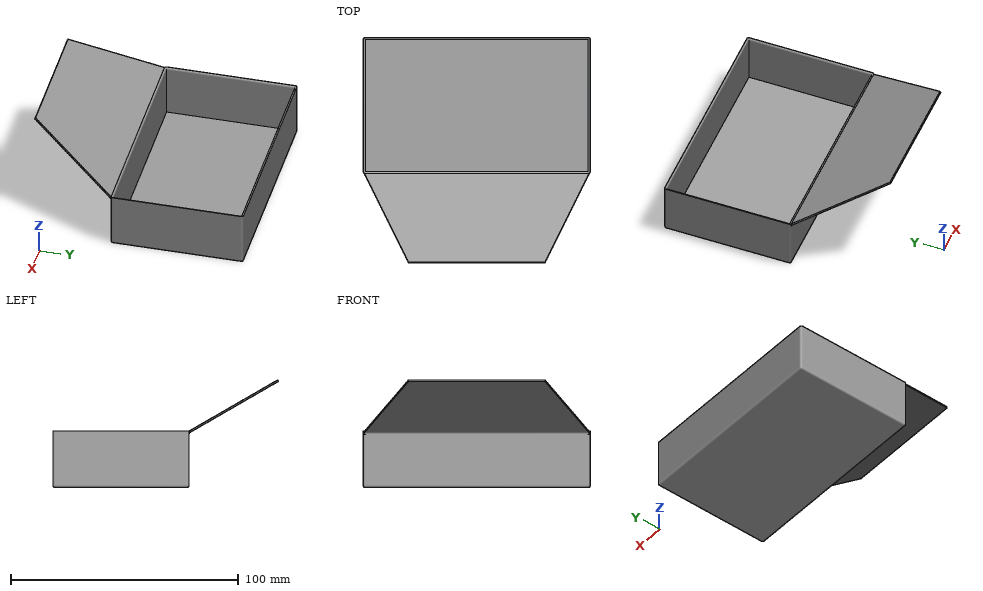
import cadquery as cq
import math

length = 100.0
depth = 60.0
height = 25.0
wall = 1.0
edge_radius = wall
inner_length = length - 2 * wall
inner_depth = depth - 2 * wall

lip_length = 45.0
lip_angle = math.radians(30.0)
lip_thickness = 0.8
lip_root_width = 98.7
lip_tip_width = 60.0
lip_fillet = 1.0


def make_shell():
    """Tray with rounded outer bottom and upright edges around a sharp-cornered cavity."""
    outside = cq.Workplane("XY").box(length, depth, height, centered=(True, True, False))
    outside = outside.edges("|Z or <Z").fillet(edge_radius)
    cavity = cq.Workplane("XY").box(inner_length, inner_depth, height, centered=(True, True, False))
    return outside.cut(cavity.translate((0, 0, wall)))


def rim_profile(plane):
    """Waste above a quarter round that spans the wall, from its inner face to its outer top edge."""
    arc_reach = wall * math.sqrt(0.5)
    return (
        cq.Workplane(plane)
        .lineTo(wall, 0)
        .threePointArc((wall - arc_reach, arc_reach - wall), (0, -wall))
        .close()
    )


def round_rim(tray):
    """Round the inner top edge of all four walls, turning about each inside corner."""
    inner_sides = (inner_length, inner_depth)
    for quarter in range(4):
        run = inner_sides[quarter % 2]
        offset = inner_sides[(quarter + 1) % 2] / 2
        start = cq.Plane(origin=(run / 2, -offset, height), xDir=(0, -1, 0), normal=(-1, 0, 0))
        side = rim_profile(start).extrude(run)
        corner = rim_profile(start).revolve(90, (0, 0, 0), (0, 1, 0))
        for waste in (side, corner):
            tray = tray.cut(waste.rotate((0, 0, 0), (0, 0, 1), 90 * quarter))
    return tray


def make_lip():
    """Flat tapered plate whose underside blends into the front wall with a concave fillet."""
    slope_y = -math.cos(lip_angle)
    slope_z = math.sin(lip_angle)
    front = -depth / 2
    tip_y = front + lip_length * slope_y
    tip_z = height + lip_length * slope_z
    underside_z = height - lip_thickness / math.cos(lip_angle)

    turn = math.pi / 2 - lip_angle
    tangent = lip_fillet * math.tan(turn / 2)
    centre_y = front - lip_fillet
    centre_z = underside_z - tangent
    root_y = front + wall / 2

    profile = (
        cq.Workplane("YZ")
        .moveTo(front, height)
        .lineTo(tip_y, tip_z)
        .lineTo(tip_y - lip_thickness * slope_z, tip_z + lip_thickness * slope_y)
        .lineTo(front + tangent * slope_y, underside_z + tangent * slope_z)
        .threePointArc(
            (centre_y + lip_fillet * math.cos(turn / 2), centre_z + lip_fillet * math.sin(turn / 2)),
            (front, centre_z),
        )
        .lineTo(root_y, centre_z)
        .lineTo(root_y, underside_z)
        .close()
        .extrude(lip_root_width / 2, both=True)
    )

    taper = (lip_root_width - lip_tip_width) / 2 / lip_length
    cut_margin = 2 * wall
    back_half = lip_root_width / 2 + taper * cut_margin
    hinge = cq.Plane(origin=(0, front, height), xDir=(1, 0, 0), normal=(0, slope_z, -slope_y))
    outline = (
        cq.Workplane(hinge)
        .polyline([
            (-back_half, cut_margin),
            (back_half, cut_margin),
            (lip_tip_width / 2, -lip_length),
            (-lip_tip_width / 2, -lip_length),
        ])
        .close()
        .extrude(cut_margin, both=True)
    )
    return profile.intersect(outline)


result = round_rim(make_shell()).union(make_lip())